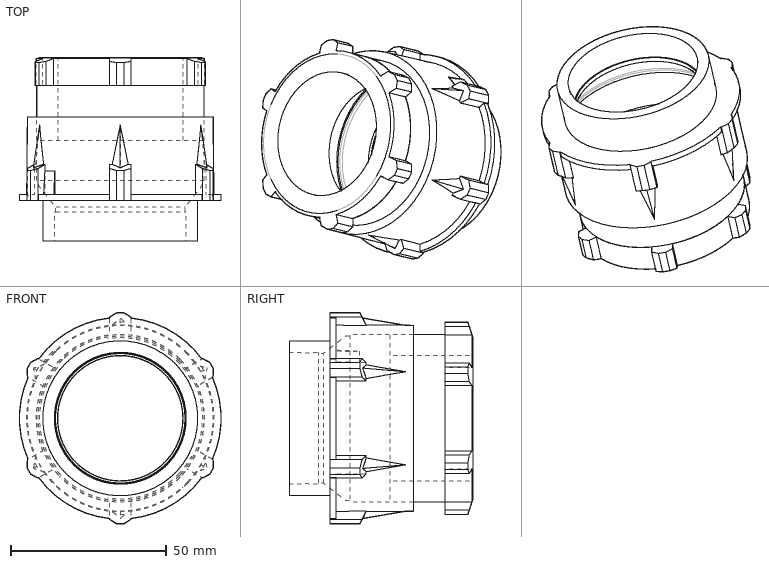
import cadquery as cq
import math


flange_front = 13.0
flange_back = 15.0
barrel_end = 40.0
ring_front = 50.0
ring_end = 59.09

spigot_radius = 24.95
flange_radius = 32.5
barrel_end_radius = 29.95
neck_radius = 27.0
ring_radius = 27.1
draft_angle = 0.5
draft = math.tan(math.radians(draft_angle))
barrel_base_radius = barrel_end_radius + (barrel_end - flange_back) * draft

mouth_radius = 21.25
lip_front = 9.4
lip_back = 10.9
mouth_end_radius = mouth_radius - lip_front * draft
lip_radius = 20.85
land_radius = 26.5
flare_end = 18.05
land_end = 19.5
flare_fillet_radius = 1.5

nut_bore_radius = 20.15
neck_front = 32.3

lug_count = 6
lug_pitch = 360.0 / lug_count
lug_half_width = 3.42
lug_top_half_width = 1.2
lug_shoulder_drop = 1.42
lug_root_radius = 26.0

housing_lug_radius = 34.0
housing_lug_top_end = 22.7
housing_lug_slope = 0.51
ridge_tip = 37.5
ridge_base = 24.8
ridge_embed_end = 22.9
ridge_root_radius = 29.8
ridge_base_radius = 32.1
ridge_base_half_width = 2.75
ridge_rise = (ridge_base_radius - barrel_end_radius) / (ridge_tip - ridge_base)
ridge_spread = ridge_base_half_width / (ridge_tip - ridge_base)

plaque_end = 22.5
plaque_start_angle = 30.0
plaque_end_angle = 45.7
plaque_low_radius = 30.2
plaque_high_radius = 30.65
plaque_root_radius = 29.0

ring_lug_radius = 31.0
ring_end_radius = 26.0
ring_bevel_slope = 0.33


def revolve_about_y(points, angle=360.0):
    """Turn a closed (radius, y) outline about the Y axis."""
    return cq.Workplane("XY").polyline(points).close().revolve(angle, (0, 0, 0), (0, 1, 0))


def spin(body, angle):
    return body.rotate((0, 0, 0), (0, 1, 0), angle)


def lug_bar(tip_radius, y_start, y_end):
    """Bar along Y on the +Z side with a rounded top and sloping shoulders."""
    top_z = math.sqrt(tip_radius ** 2 - lug_top_half_width ** 2)
    shoulder_z = tip_radius - lug_shoulder_drop
    return (
        cq.Workplane("XZ", origin=(0, y_start, 0))
        .moveTo(-lug_half_width, lug_root_radius)
        .lineTo(-lug_half_width, shoulder_z)
        .lineTo(-lug_top_half_width, top_z)
        .threePointArc((0, tip_radius), (lug_top_half_width, top_z))
        .lineTo(lug_half_width, shoulder_z)
        .lineTo(lug_half_width, lug_root_radius)
        .close()
        .extrude(y_start - y_end)
    )


def housing_lug():
    """Lug whose rear end slopes back towards the barrel."""
    slope_run = (housing_lug_radius - lug_root_radius) * housing_lug_slope
    root_end = housing_lug_top_end + slope_run
    envelope = revolve_about_y([
        (0, flange_front),
        (housing_lug_radius, flange_front),
        (housing_lug_radius, housing_lug_top_end),
        (lug_root_radius, root_end),
        (0, root_end),
    ])
    return lug_bar(housing_lug_radius, flange_front, root_end).intersect(envelope)


def ridge():
    """Triangular spike that narrows from the lug to a point on the barrel."""
    run = ridge_tip - ridge_embed_end
    half_width = run * ridge_spread
    peak = barrel_end_radius + run * ridge_rise
    corners = [
        cq.Vector(-half_width, ridge_embed_end, ridge_root_radius),
        cq.Vector(half_width, ridge_embed_end, ridge_root_radius),
        cq.Vector(0, ridge_embed_end, peak),
    ]
    tip = cq.Vector(0, ridge_tip, barrel_end_radius)
    triangles = [corners] + [[corners[i], corners[(i + 1) % 3], tip] for i in range(3)]
    faces = [cq.Face.makeFromWires(cq.Wire.makePolygon(t, close=True)) for t in triangles]
    return cq.Workplane(cq.Solid.makeSolid(cq.Shell.makeShell(faces)))


def plaque():
    """Thin curved pad on the barrel that rises towards the flange."""
    sweep = plaque_end_angle - plaque_start_angle
    pad = revolve_about_y([
        (plaque_root_radius, flange_back),
        (plaque_high_radius, flange_back),
        (plaque_low_radius, plaque_end),
        (plaque_root_radius, plaque_end),
    ], sweep)
    return spin(pad, 180.0 + plaque_start_angle)


def housing_bore():
    """Hollow of the housing, with the flare blended into the land."""
    hollow = revolve_about_y([
        (0, 0),
        (mouth_radius, 0),
        (mouth_end_radius, lip_front),
        (lip_radius, lip_front),
        (lip_radius, lip_back),
        (land_radius, flare_end),
        (land_radius, land_end),
        (neck_radius, land_end),
        (neck_radius, barrel_end),
        (0, barrel_end),
    ])
    flare_corner = cq.selectors.NearestToPointSelector((0, flare_end, 0))
    return hollow.edges("%CIRCLE").edges(flare_corner).fillet(flare_fillet_radius)


def make_housing():
    housing = revolve_about_y([
        (0, 0),
        (spigot_radius, 0),
        (spigot_radius, flange_front),
        (flange_radius, flange_front),
        (flange_radius, flange_back),
        (barrel_base_radius, flange_back),
        (barrel_end_radius, barrel_end),
        (0, barrel_end),
    ])
    grip = housing_lug().union(ridge())
    for i in range(lug_count):
        housing = housing.union(spin(grip, i * lug_pitch))
    return housing.union(plaque()).cut(housing_bore())


def make_nut():
    nut = revolve_about_y([
        (nut_bore_radius, neck_front),
        (neck_radius, neck_front),
        (neck_radius, ring_front),
        (ring_radius, ring_front),
        (ring_radius, ring_end),
        (nut_bore_radius, ring_end),
    ])
    lug = lug_bar(ring_lug_radius, ring_front, ring_end)
    for i in range(lug_count):
        nut = nut.union(spin(lug, i * lug_pitch))
    bevel_start = ring_end - (ring_lug_radius - ring_end_radius) * ring_bevel_slope
    envelope = revolve_about_y([
        (0, neck_front),
        (ring_lug_radius, neck_front),
        (ring_lug_radius, bevel_start),
        (ring_end_radius, ring_end),
        (0, ring_end),
    ])
    return nut.intersect(envelope)


housing = make_housing()
nut = make_nut()

result = cq.Compound.makeCompound([housing.solids().val(), nut.solids().val()])